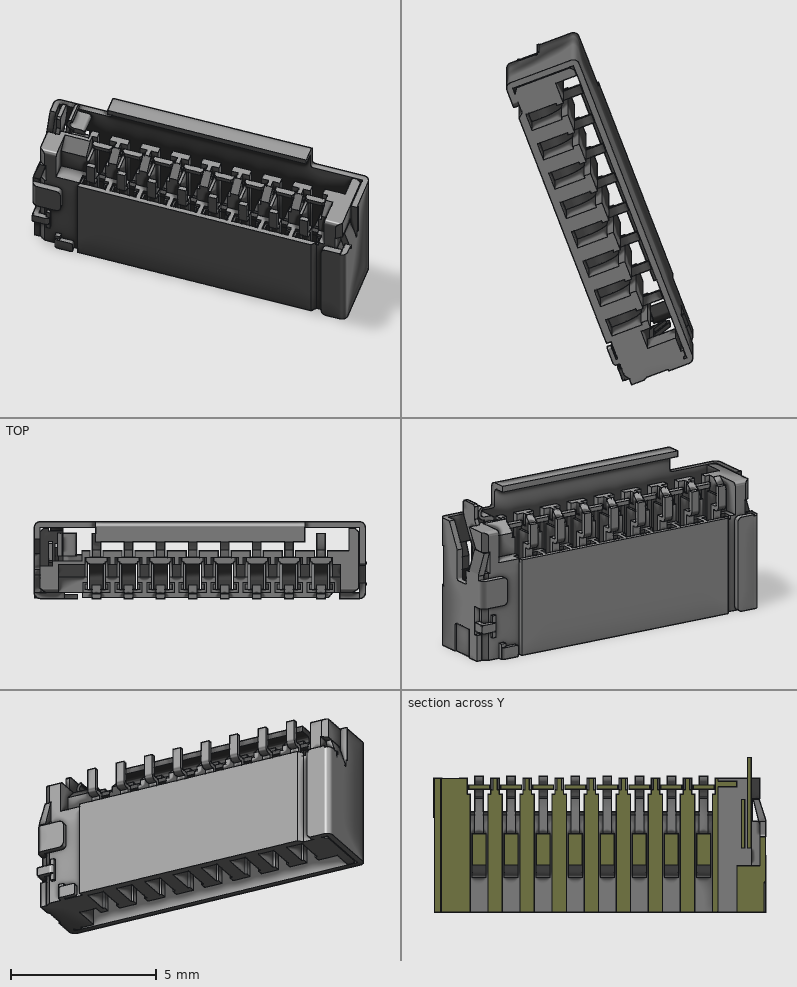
import cadquery as cq


shell_length = 11.37
shell_depth = 2.65
shell_height = 4.6
overall_height = 5.5
sheet = 0.21
bend_radius = 0.22
left_tab_bottom = 1.95
left_tab_top = 2.95
right_tab_top = 3.4

contact_count = 8
contact_pitch = 1.1
contact_centre = 0.29
contact_width = 0.3
contact_sheet = 0.16
tail_top = 4.67
tail_bottom = 3.75
blade_bottom = 1.2
blade_top = 2.7

nib = 0.03

left_out = -(shell_length + nib) / 2
right_out = left_out + shell_length
left_in = left_out + sheet
right_in = right_out - sheet
back_in = shell_depth - sheet
contact_positions = [
    contact_centre + (i - (contact_count - 1) / 2) * contact_pitch for i in range(contact_count)
]

body_back = 1.65
body_right = right_in - 0.03
body_left_back = 1.3
comb_left = -4.06
slot_back = 1.41
recess_left = -4.87
recess_right = 4.81
recess_floor = 3.45
divider_front = 0.75
divider_knee = 4.22
slope_back = 1.17
corner_x = 0.2
corner_y = 0.14
wing_inner_right = 5.1
wing_back = 2.42
wing_chamfer = 0.12
end_wing_top = 1.6
tab_base = 3.11
tab_tip = 3.88
right_lance_front = 0.54

lever_x = -5.2
lever_sheet = 0.14
lever_bottom = 2.2
lever_front_foot = (0.86, 4.15)
lever_front_knee = (1.24, 4.79)


def box(x0, x1, y0, y1, z0, z1):
    """Block between two positions on each axis."""
    return cq.Workplane("XY").box(x1 - x0, y1 - y0, z1 - z0, centered=False).translate((x0, y0, z0))


def plan(points, z0, z1):
    """Prism over an outline of (x, y) points."""
    return cq.Workplane("XY").polyline(points).close().extrude(z1 - z0).translate((0, 0, z0))


def side(points, x0, x1):
    """Prism along X over an outline of (y, z) points."""
    return cq.Workplane("YZ").polyline(points).close().extrude(x1 - x0).translate((x0, 0, 0))


def elevation(points, y0, y1):
    """Prism along Y over an outline of (x, z) points."""
    return cq.Workplane("XZ").polyline(points).close().extrude(y0 - y1).translate((0, y0, 0))


def make_shell_ring():
    """Closed sheet-metal sleeve with rounded upright corners."""
    outer = box(left_out, right_out, 0, shell_depth, 0, shell_height).edges("|Z").fillet(bend_radius)
    inner = box(left_in, right_in, sheet, back_in, 0, shell_height)
    return outer.cut(inner)


def trim_shell_front(shell):
    """Open the front, leaving one wrap-round tab on each side."""
    corner = 0.17
    left_tab = box(left_out, -4.65, 0, sheet, left_tab_bottom, left_tab_top)
    left_tab = left_tab.edges("|Y and >X").fillet(corner)
    right_tab = box(4.78, right_out, 0, sheet, 0, right_tab_top)
    right_tab = right_tab.edges("|Y and <X").fillet(corner)
    front = box(left_out, right_out, 0, sheet, 0, shell_height)
    return shell.cut(front.cut(left_tab).cut(right_tab))


def trim_left_wall(shell):
    """Lever slot, low front part and stepped front edge of the left wall."""
    upper_step_depth = 0.47
    clip_left = left_out + 0.02
    lever_slot_back = 1.56
    lever_slot_front = 1.0
    lever_slot_bottom = 2.6
    slot = side(
        [
            (0, shell_height),
            (2.05, shell_height),
            (lever_slot_back, 3.69),
            (lever_slot_back, lever_slot_bottom),
            (lever_slot_front, lever_slot_bottom),
            (lever_slot_front, tab_base),
            (0, tab_base),
        ],
        left_out,
        left_in,
    )
    slot = slot.edges("|X and <Z").fillet(0.07)
    lower_step = box(left_out, left_in, 0, 0.33, 0, left_tab_bottom)
    upper_step = box(left_out, left_in, 0, upper_step_depth, 0.93, left_tab_bottom)
    clip_bottom, clip_top = 1.06, 1.37
    clip_right = lever_x + lever_sheet
    clip = box(clip_left, clip_right, 0.02, 0.2, clip_bottom, clip_top)
    clip = clip.edges("|Z and >X and <Y").fillet(0.14).edges("|Y and <X").fillet(0.05)
    clip_leg = box(clip_left, left_in, 0.1, upper_step_depth, clip_bottom, clip_top)
    clip_plate = box(lever_x, clip_right, 0.1, sheet, 0.82, 1.62)
    panel_front, panel_back, panel_top = 0.8, 1.69, 1.03
    panel_floor = left_out + 0.06
    panel = box(left_out, panel_floor, panel_front, panel_back, 0, panel_top).edges("|X and >Z").fillet(0.1)
    panel_slope = [
        (left_out, panel_front),
        (panel_floor, panel_front + 0.1),
        (panel_floor, panel_back),
        (left_out, panel_back),
    ]
    panel = panel.intersect(plan(panel_slope, 0, panel_top))
    shell = shell.cut(slot).cut(lower_step).cut(upper_step).cut(panel)
    return shell.union(clip).union(clip_leg).union(clip_plate)


def trim_right_wall(shell):
    """Low front part of the right wall, with the burrs beside its cut edges."""
    wall_front = 1.2
    low_top = 3.35
    shell = shell.cut(box(right_in, right_out, 0, wall_front, low_top, shell_height))
    shell = shell.union(box(right_in, right_out + nib, wall_front, wall_front + 0.06, low_top, shell_height))
    shell = shell.cut(box(right_in, right_out, right_lance_front, wall_front, tab_base, low_top))
    return shell.union(box(right_in, right_out + nib, 0.48, right_lance_front, low_top - 0.1, low_top))


def lanced_tab(front):
    """Tab leaning inward from the low part of the left wall."""
    outline = [
        (left_out, tab_base - 0.1),
        (left_in, tab_base - 0.1),
        (left_in + 0.05, tab_base + 0.05),
        (-5.26, tab_tip),
        (-5.47, tab_tip),
        (left_out, tab_base + 0.05),
    ]
    return elevation(outline, front, front + 0.6)


def cut_spring_window(shell):
    """Window at the back left corner, bridged by a strap pressed inward."""
    z0, z1 = 2.15, 3.6
    window_right = -4.4
    strap_left, strap_right = -5.13, -4.7
    strap_sheet = 0.1
    pressed = 2.34
    rise = 0.5
    shell = shell.cut(box(left_out, window_right, 2.42, shell_depth, z0, z1))
    strap = side(
        [
            (shell_depth, z0),
            (shell_depth - strap_sheet, z0),
            (pressed, z0 + rise),
            (pressed, z1 - rise),
            (shell_depth - strap_sheet, z1),
            (shell_depth, z1),
            (pressed + strap_sheet, z1 - rise),
            (pressed + strap_sheet, z0 + rise),
        ],
        strap_left,
        strap_right,
    )
    return shell.union(strap)


def make_hood():
    """Flange rising from the back wall and bending forward over the contacts."""
    half = 3.59
    front = 1.95
    root_radius = 0.1
    upright = box(-half, half, front, shell_depth, shell_height, overall_height)
    upright = upright.edges("|X and >Y and >Z").fillet(bend_radius)
    hollow = box(-half, half, front, back_in, shell_height, overall_height - sheet)
    hood = upright.cut(hollow.edges("|X and >Y and >Z").fillet(0.12))
    for sign in (-1, 1):
        edge = sign * half
        corner = sign * (half + root_radius)
        root = (
            cq.Workplane("XZ")
            .moveTo(edge, shell_height)
            .lineTo(corner, shell_height)
            .radiusArc((edge, shell_height + root_radius), root_radius * sign)
            .close()
            .extrude(-sheet)
            .translate((0, back_in, 0))
        )
        hood = hood.union(root)
    return hood


def make_shell():
    shell = trim_right_wall(trim_left_wall(trim_shell_front(make_shell_ring())))
    shell = cut_spring_window(shell)
    tab = lanced_tab(0.22)
    mirrored = lanced_tab(right_lance_front).mirror("YZ").translate((left_out + right_out, 0, 0))
    return shell.union(make_hood()).union(tab).union(mirrored)


def make_body_block():
    """Outline of the moulding in plan, full height, with a rounded top front edge."""
    outline = [
        (left_in, sheet + corner_y),
        (left_in + corner_x, sheet),
        (body_right - corner_x, sheet),
        (body_right, sheet + corner_y),
        (body_right, wing_back - wing_chamfer),
        (body_right - wing_chamfer, wing_back),
        (wing_inner_right, wing_back),
        (wing_inner_right, body_back),
        (comb_left, body_back),
        (comb_left, body_left_back),
        (left_in, body_left_back),
    ]
    body = plan(outline, 0, shell_height)
    return body.edges("|X and <Y and >Z").fillet(0.14)


def cut_body_ends(body):
    """Tab clearances at both ends, and room for the lever on the left."""
    clearance = 0.25
    body = body.cut(box(left_in, left_in + clearance, 0, body_back, tab_base + 0.02, tab_tip + 0.02))
    body = body.cut(box(right_in - clearance, right_in, 0, 1.2, tab_base + 0.02, tab_tip + 0.02))
    room_front = 0.71
    room = side(
        [
            (room_front, 3.9),
            (1.13, shell_height),
            (body_back, shell_height),
            (body_back, end_wing_top),
            (room_front, end_wing_top),
        ],
        left_in,
        lever_x,
    )
    low_wing = box(left_in, -4.7, body_left_back, 2.33, 0, end_wing_top)
    end_wing = box(left_in, lever_x, body_left_back, wing_back, 0, end_wing_top)
    end_wing = end_wing.edges("|Z and <X and >Y").chamfer(wing_chamfer)
    return body.cut(room).union(low_wing).union(end_wing)


def cut_body_recess(body):
    """Open the front above the floor, leaving dividers with a sloping top edge."""
    recess = side(
        [
            (0, recess_floor),
            (divider_front, recess_floor),
            (divider_front, divider_knee),
            (slope_back, shell_height),
            (0, shell_height),
        ],
        recess_left,
        recess_right,
    )
    return body.cut(recess)


def contact_cavity(x):
    """Through slot for one contact, wider near the top and narrow through the back."""
    slot_half = 0.3
    slot_front = 0.31
    neck_half = 0.22
    head_half = 0.4
    rim_half = 0.47
    head_floor = 4.05
    slot = box(x - slot_half, x + slot_half, slot_front, slot_back, 0, shell_height)
    neck = box(x - neck_half, x + neck_half, slot_back, body_back, 0, shell_height)
    head = box(x - head_half, x + head_half, divider_front, slot_back, head_floor, shell_height)
    rim = box(x - rim_half, x + rim_half, sheet, 0.56, recess_floor - 0.12, recess_floor)
    well = box(x - head_half, x + head_half, slot_front, 0.5, recess_floor - 0.4, recess_floor)
    return slot.union(neck).union(head).union(rim).union(well)


def divider_gap(x):
    """Upright gaps that narrow the stem of the T-shaped divider to the right of a contact."""
    floor = 4.2
    middle = x + contact_pitch / 2
    stem_half = 0.08
    fin_half = 0.15
    gaps = box(middle - fin_half, middle + fin_half, slope_back, slot_back, floor, shell_height)
    return gaps.cut(box(middle - stem_half, middle + stem_half, slope_back, slot_back, floor, shell_height))


def make_front_plate():
    """Raised plate on the front face, bevelled at its right end."""
    left, right = -4.04, 4.54
    face = 0.04
    bevel = 0.14
    outline = [(left, face), (right - bevel, face), (right, sheet), (left, sheet)]
    return plan(outline, 0, recess_floor)


def make_body():
    body = cut_body_recess(cut_body_ends(make_body_block()))
    body = body.union(make_front_plate())
    for x in contact_positions:
        body = body.cut(contact_cavity(x))
    for x in contact_positions[:-1]:
        body = body.cut(divider_gap(x))
    return body


def make_contact_tail(x):
    """Upright front tail, bent back over the front plate and down into the slot."""
    half = contact_width / 2
    t = contact_sheet
    bend = 0.2
    drop = 0.48
    return (
        cq.Workplane("YZ")
        .moveTo(0, tail_top)
        .lineTo(0, tail_bottom + bend)
        .radiusArc((bend, tail_bottom), -bend)
        .lineTo(drop - t, tail_bottom)
        .lineTo(drop - t, blade_bottom)
        .lineTo(drop, blade_bottom)
        .lineTo(drop, tail_bottom + t)
        .lineTo(bend, tail_bottom + t)
        .lineTo(t, tail_bottom + bend)
        .lineTo(t, tail_top)
        .close()
        .extrude(contact_width)
        .translate((x - half, 0, 0))
    )


def make_contact_blade(x):
    """Wide blade curving up from under the tail and let into the back of the slot."""
    half = 0.24
    t = contact_sheet
    front = 0.32
    back = slot_back + 0.02
    radius = 0.8
    return (
        cq.Workplane("YZ")
        .moveTo(front, blade_bottom)
        .lineTo(back - radius, blade_bottom)
        .radiusArc((back, blade_bottom + radius), -radius)
        .lineTo(back, blade_top)
        .lineTo(back - t, blade_top)
        .lineTo(back - t, blade_bottom + radius)
        .radiusArc((back - radius, blade_bottom + t), radius - t)
        .lineTo(front, blade_bottom + t)
        .close()
        .extrude(2 * half)
        .translate((x - half, 0, 0))
    )


def make_contact_beam(x):
    """Narrow beam reaching from the top of the blade into the rear cavity."""
    half = contact_width / 2
    t = contact_sheet
    tip = 2.24
    bend = 1.68
    drop = 0.2
    outline = [
        (slot_back - t, blade_top),
        (slot_back, blade_top),
        (bend, blade_top - drop),
        (tip, blade_top - drop),
        (tip, blade_top - drop - t),
        (bend - t, blade_top - drop - t),
        (slot_back - t, blade_top - t),
    ]
    return side(outline, x - half, x + half)


def make_slot_bar(x):
    """Bar at the back of a slot, narrowing toward the front."""
    back_half = 0.36
    front_half = 0.27
    shoulder = 1.3
    bar_front = 1.2
    outline = [
        (x - back_half, slot_back),
        (x + back_half, slot_back),
        (x + back_half, shoulder),
        (x + front_half, bar_front),
        (x - front_half, bar_front),
        (x - back_half, shoulder),
    ]
    bottom, top = 4.22, 4.37
    return plan(outline, bottom, top)


def make_contact(x):
    contact = make_contact_tail(x).union(make_contact_blade(x))
    return contact.union(make_contact_beam(x)).union(make_slot_bar(x))


def make_lever():
    """Flat lever standing in the slot of the left wall."""
    top = 5.31
    back = 1.957
    front = lever_front_knee[0]
    stem_back = 1.36
    lever = side(
        [
            (back, top),
            (front, top),
            lever_front_knee,
            lever_front_foot,
            (lever_front_foot[0], lever_bottom),
            (stem_back, lever_bottom),
            (stem_back, 3.73),
            (back, 4.85),
        ],
        lever_x,
        lever_x + lever_sheet,
    )
    return lever.edges("|X and >Z").chamfer(0.07)


def make_hook():
    """Curled spring behind the lever, its foot joined to the back of the body."""
    y0, y1 = 1.46, 2.25
    left = -4.9
    curl = 0.25
    t = 0.11
    foot_right = -4.25
    foot_top = 4.72
    centre_x = left + curl
    centre_z = foot_top - t + curl
    profile = (
        cq.Workplane("XZ")
        .moveTo(centre_x, centre_z - curl)
        .threePointArc((left, centre_z), (centre_x - 0.09, centre_z + 0.233))
        .lineTo(centre_x - 0.05, centre_z + 0.131)
        .threePointArc((left + t, centre_z), (centre_x, centre_z - curl + t))
        .lineTo(foot_right - 0.2, foot_top)
        .radiusArc((foot_right, foot_top - t), 0.2)
        .close()
        .extrude(y0 - y1)
        .translate((0, y0, 0))
    )
    overlap = 0.05
    anchor_bottom, anchor_top = 4.3, 4.5
    anchor = box(centre_x - overlap, comb_left, body_left_back, y0 + overlap, anchor_bottom, anchor_top)
    riser = box(centre_x, foot_right, y0, y0 + overlap, anchor_bottom, foot_top - t + overlap)
    return profile.union(anchor).union(riser)


def make_spring_leg():
    """Leg of the curled spring, standing on the back of the body beside the lever."""
    left = -4.98
    thickness = 0.12
    leg_back = 1.46
    root = body_left_back - 0.02
    outline = [
        (root, lever_bottom),
        (leg_back, lever_bottom),
        (leg_back, 3.73),
        (1.9, 4.5),
        (1.75, 4.59),
        (root, 3.8),
    ]
    return side(outline, left, left + thickness)


def make_foot():
    """Small L-shaped foot at the bottom of the front face, left of the plate."""
    left, right = -4.87, -4.21
    root = box(left, left + 0.19, 0.06, sheet, 0, 0.55)
    pad = box(left, right, 0, 0.15, 0, 0.42)
    pad = pad.edges("|Y and >X").fillet(0.06).edges("|Z and <X and <Y").fillet(0.12)
    return root.union(pad)


result = make_body().union(make_shell())
for contact_x in contact_positions:
    result = result.union(make_contact(contact_x))
result = result.union(make_lever()).union(make_hook()).union(make_spring_leg()).union(make_foot())